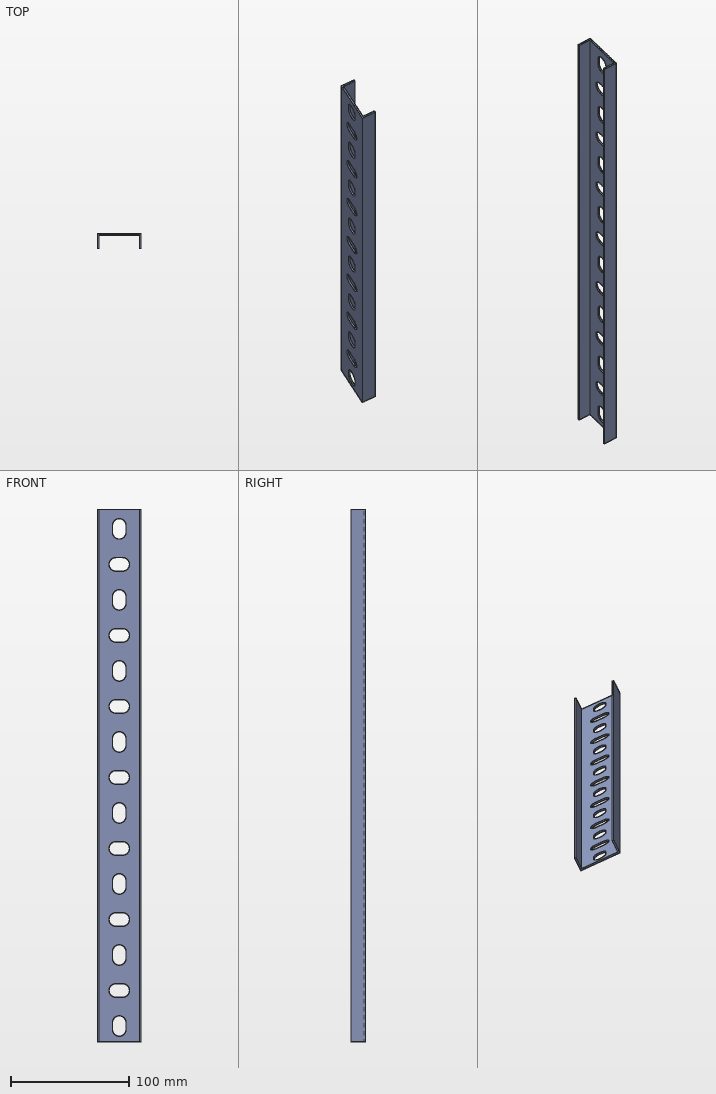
import cadquery as cq

length = 450.0
width = 37.0
depth = 12.5
thickness = 1.5

slot_count = 15
slot_length = 17.0
slot_width = 11.2
slot_pitch = length / slot_count
bottom_margin = 13.5


def channel():
    """Upright U-shaped channel centered on the origin."""
    block = cq.Workplane("XY").box(width, depth, length)
    inner_width = width - 2 * thickness
    cavity = cq.Workplane("XY").box(inner_width, depth, length).translate((0, -thickness, 0))
    return block.cut(cavity)


def slot_cutter(height, upright):
    """Round-ended slot cutter through the web at the given height."""
    web_center_y = (depth - thickness) / 2
    long_axis_angle = 90 if upright else 0
    return (
        cq.Workplane("XZ", origin=(0, web_center_y, height))
        .slot2D(slot_length, slot_width, long_axis_angle)
        .extrude(thickness, both=True)
    )


result = channel()
for index in range(slot_count):
    slot_height = -length / 2 + bottom_margin + index * slot_pitch
    result = result.cut(slot_cutter(slot_height, upright=index % 2 == 0))